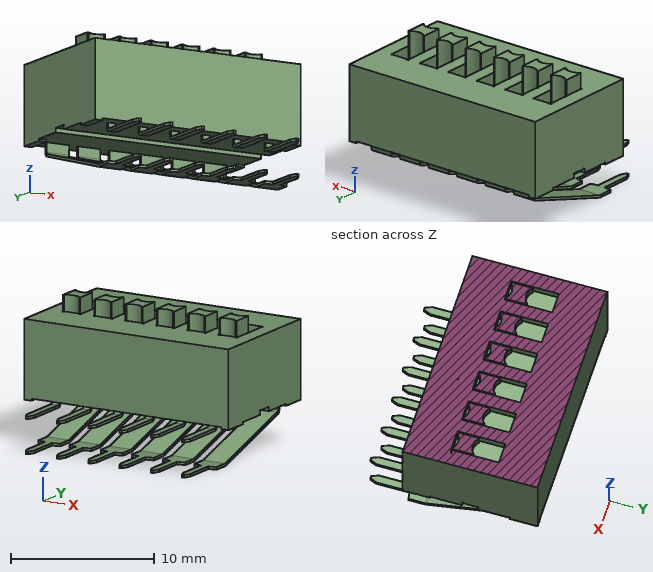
import cadquery as cq
import math

body_width = 16.6
body_depth = 9.9
body_height = 5.85
foot_width = 0.6
foot_height = 0.15
foot_gap = 5.85
groove_width = 1.16
groove_height = 0.46

switch_count = 6
pitch = 2.54
first_switch_x = -(switch_count - 1) / 2 * pitch
switch_xs = [first_switch_x + i * pitch for i in range(switch_count)]

slot_width = 1.53
slot_length = 3.47
slot_depth = 1.0
slider_width = 1.43
slider_length = 1.61
slider_rise = 1.18
slider_land = 0.1
slider_hollow = 0.27

lead_thickness = 0.2
lead_embed = 0.66
lead_tip_y = -7.85
pin_width = 0.6
tip_width = 0.2
tip_length = 0.5
lead_inner_bend = 0.15
lead_outer_bend = lead_inner_bend + lead_thickness

front_lead_y = -3.72
front_lead_bottom = -0.48

blade_width = 1.8
rear_lead_y = 3.82
rear_bend_z = -0.81
rear_lead_bottom = -3.02
slope_end_y = -3.57
blade_end_y = -4.83
shoulder_slope = 0.1


def make_housing():
    housing = cq.Workplane("XY").box(body_width, body_depth, body_height, centered=(True, True, False))
    gap_along_y = cq.Workplane("XY").box(
        body_width - 2 * foot_width, body_depth, foot_height, centered=(True, True, False)
    )
    gap_along_x = cq.Workplane("XY").box(body_width, foot_gap, foot_height, centered=(True, True, False))
    groove = cq.Workplane("XY").box(body_width, groove_width, groove_height, centered=(True, True, False))
    slots = (
        cq.Workplane("XY")
        .workplane(offset=body_height - slot_depth)
        .pushPoints([(x, 0) for x in switch_xs])
        .rect(slot_width, slot_length)
        .extrude(slot_depth)
    )
    return housing.cut(gap_along_y).cut(gap_along_x).cut(groove).cut(slots)


def make_slider():
    """Block at the -Y end of its slot, hollowed by an arc between narrow lands at both ends."""
    front = -slot_length / 2
    back = front + slider_length
    half = slider_width / 2
    hollow_half = half - slider_land
    return (
        cq.Workplane("XY")
        .workplane(offset=body_height - slot_depth)
        .moveTo(-half, front)
        .lineTo(-hollow_half, front)
        .threePointArc((0, front + slider_hollow), (hollow_half, front))
        .lineTo(half, front)
        .lineTo(half, back)
        .lineTo(hollow_half, back)
        .threePointArc((0, back - slider_hollow), (-hollow_half, back))
        .lineTo(-half, back)
        .close()
        .extrude(slot_depth + slider_rise)
    )


def extrude_strip(points, width):
    """Side outline of a lead, as (y, z) points, extruded evenly about X = 0."""
    return cq.Workplane("YZ").polyline(points).close().extrude(width / 2, both=True)


def round_bend(strip, outer_corner, inner_corner):
    """Round the two edges along X that form a bend."""
    for (y, z), radius in ((outer_corner, lead_outer_bend), (inner_corner, lead_inner_bend)):
        strip = strip.edges(cq.selectors.NearestToPointSelector((0, y, z))).fillet(radius)
    return strip


def trim_to_plan(strip, half_outline):
    """Keep the part of a strip inside an outline given by its +X half."""
    mirrored = [(-x, y) for x, y in reversed(half_outline)]
    plan = (
        cq.Workplane("XY")
        .workplane(offset=rear_lead_bottom)
        .polyline(half_outline + mirrored)
        .close()
        .extrude(lead_embed - rear_lead_bottom)
    )
    return strip.intersect(plan)


pin_end = [
    (pin_width / 2, lead_tip_y + tip_length),
    (tip_width / 2, lead_tip_y),
]


def make_front_lead():
    outer = (front_lead_y, front_lead_bottom)
    inner = (front_lead_y - lead_thickness, front_lead_bottom + lead_thickness)
    strip = extrude_strip(
        [
            (outer[0], lead_embed),
            outer,
            (lead_tip_y, outer[1]),
            (lead_tip_y, inner[1]),
            inner,
            (inner[0], lead_embed),
        ],
        pin_width,
    )
    strip = round_bend(strip, outer, inner)
    return trim_to_plan(strip, [(pin_width / 2, front_lead_y)] + pin_end)


def make_rear_lead():
    slope = math.atan2(rear_bend_z - rear_lead_bottom, rear_lead_y - slope_end_y)
    first_turn = math.pi / 2 - slope
    outer = (rear_lead_y, rear_bend_z)
    inner = (
        rear_lead_y - lead_thickness,
        rear_bend_z + lead_thickness * math.tan(first_turn / 2),
    )
    slope_top_end_y = slope_end_y - lead_thickness * math.tan(slope / 2)
    top_z = rear_lead_bottom + lead_thickness
    strip = extrude_strip(
        [
            (outer[0], lead_embed),
            outer,
            (slope_end_y, rear_lead_bottom),
            (lead_tip_y, rear_lead_bottom),
            (lead_tip_y, top_z),
            (slope_top_end_y, top_z),
            inner,
            (inner[0], lead_embed),
        ],
        blade_width,
    )
    strip = round_bend(strip, outer, inner)
    blade = [
        (blade_width / 2, rear_lead_y),
        (blade_width / 2, blade_end_y),
        (pin_width / 2, blade_end_y - shoulder_slope),
    ]
    return trim_to_plan(strip, blade + pin_end)


result = make_housing()
for template in (make_slider(), make_front_lead(), make_rear_lead()):
    for x in switch_xs:
        result = result.union(template.translate((x, 0, 0)))